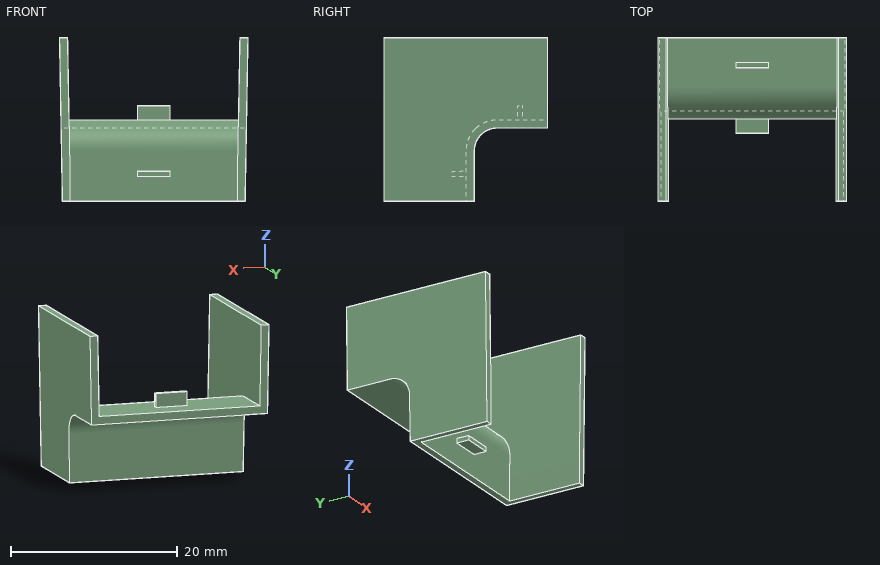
import cadquery as cq
import math

top_width = 22.7
side_length = 19.7

plate_thickness = 1.0
leg_width = 10.9
inner_radius = 2.72
lean_angle = 1.0
upright_height = 3.02

web_thickness = 1.0
outer_radius = inner_radius + web_thickness

clip_width = 3.93
clip_thickness = 0.61
clip_height = 1.7
clip_offset = 3.02
clip_draft = 0.02
clip_bevel_side = 0.15
clip_bevel_tip = 0.02

half_side = side_length / 2
half_top = top_width / 2
lean = math.tan(math.radians(lean_angle))
half_bottom = half_top - side_length * lean
inner_half_top = half_top - plate_thickness
inner_half_bottom = inner_half_top - (side_length - upright_height) * lean
notch = side_length - leg_width
web_rise = notch + web_thickness


def corner_block(size, radius):
    """Square bar along X in the back bottom corner, with its free long edge rounded."""
    bar = cq.Workplane("XY").box(top_width, size, size, centered=(True, False, False))
    bar = bar.translate((0, half_side - size, 0))
    return bar.edges("|X and <Y and >Z").fillet(radius)


def trapezoid_prism(outline):
    """Outline in X and Z, extruded over the full depth in Y."""
    return cq.Workplane("XZ").polyline(outline).close().extrude(half_side, both=True)


def clip_on_top():
    """Upright tab on the top of the web, bevelled along its front tip edge."""
    back = half_side - clip_offset
    front = back - clip_thickness
    front_at_tip = front + clip_draft
    tip = web_rise + clip_height
    profile = [
        (back, notch),
        (back, tip),
        (front_at_tip + clip_bevel_side, tip),
        (front_at_tip, tip - clip_bevel_tip),
        (front, web_rise),
        (front, notch),
    ]
    tab = cq.Workplane("YZ").polyline(profile).close()
    return tab.extrude(clip_width / 2, both=True)


def clip_on_front():
    """The top clip mirrored across the diagonal of the L."""
    back_bottom_edge = (0, half_side, 0)
    return clip_on_top().mirror(cq.Vector(0, 1, 1), back_bottom_edge)


envelope = trapezoid_prism([
    (-half_bottom, 0),
    (half_bottom, 0),
    (half_top, side_length),
    (-half_top, side_length),
])
channel = trapezoid_prism([
    (-inner_half_bottom, 0),
    (inner_half_bottom, 0),
    (inner_half_bottom, upright_height),
    (inner_half_top, side_length),
    (-inner_half_top, side_length),
    (-inner_half_bottom, upright_height),
])

outer_corner = corner_block(web_rise, outer_radius)
inner_corner = corner_block(notch, inner_radius)

result = (
    envelope
    .cut(channel.cut(outer_corner))
    .cut(inner_corner)
    .union(clip_on_top())
    .union(clip_on_front())
)